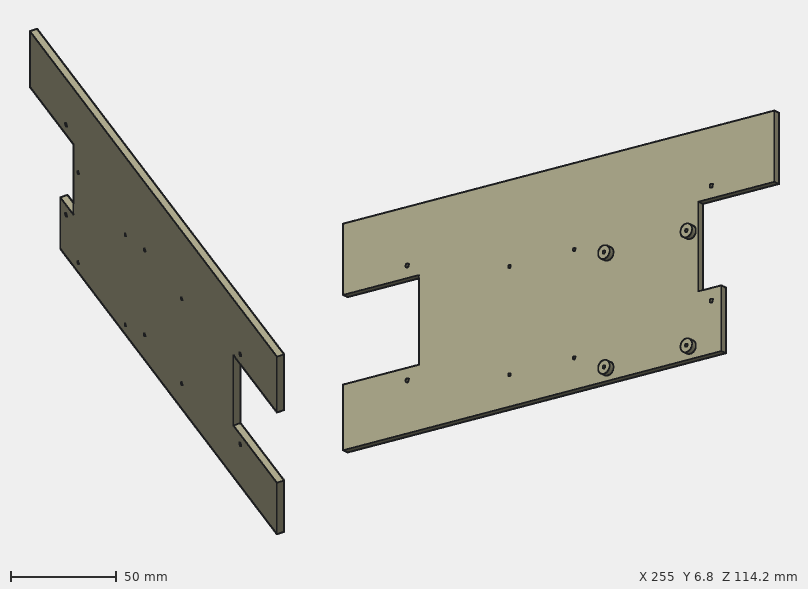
import cadquery as cq

length = 255.0
height = 114.2
thickness = 3.8

notch_depth = 45.0
notch_bottom = 33.2
notch_top = 78.3
lower_arm_left = 31.4

mount_diameter = 2.0
mount_left, mount_bottom = 37.2, 26.8
mount_spacing_x, mount_spacing_z = 179.8, 58.0

boss_diameter = 7.0
boss_height = 3.0
small_diameter = 1.5
boss_left, boss_bottom = 49.7, 6.0
boss_spacing_x, boss_spacing_z = 48.7, 58.0

center_left, center_bottom = 118.3, 16.0
center_spacing_x, center_spacing_z = 38.2, 54.5


def rectangle_points(left, bottom, spacing_x, spacing_z):
    """Four (x, z) corners of a rectangular hole pattern."""
    return [(left + i * spacing_x, bottom + j * spacing_z) for i in (0, 1) for j in (0, 1)]


def cylinders(points, diameter, start_y, depth):
    """Equal cylinders running from start_y toward +Y."""
    plane = cq.Workplane("XZ", origin=(0, start_y, 0))
    return plane.pushPoints(points).circle(diameter / 2).extrude(-depth)


mount_points = rectangle_points(mount_left, mount_bottom, mount_spacing_x, mount_spacing_z)
boss_points = rectangle_points(boss_left, boss_bottom, boss_spacing_x, boss_spacing_z)
center_points = rectangle_points(center_left, center_bottom, center_spacing_x, center_spacing_z)

outline = [
    (lower_arm_left, 0),
    (length, 0),
    (length, notch_bottom),
    (length - notch_depth, notch_bottom),
    (length - notch_depth, notch_top),
    (length, notch_top),
    (length, height),
    (0, height),
    (0, notch_top),
    (notch_depth, notch_top),
    (notch_depth, notch_bottom),
    (lower_arm_left, notch_bottom),
]
plate = cq.Workplane("XZ").polyline(outline).close().extrude(-thickness)

bosses = cylinders(boss_points, boss_diameter, thickness, boss_height)
full_depth = thickness + boss_height
mount_holes = cylinders(mount_points, mount_diameter, 0, full_depth)
small_holes = cylinders(boss_points + center_points, small_diameter, 0, full_depth)

result = plate.union(bosses).cut(mount_holes).cut(small_holes)